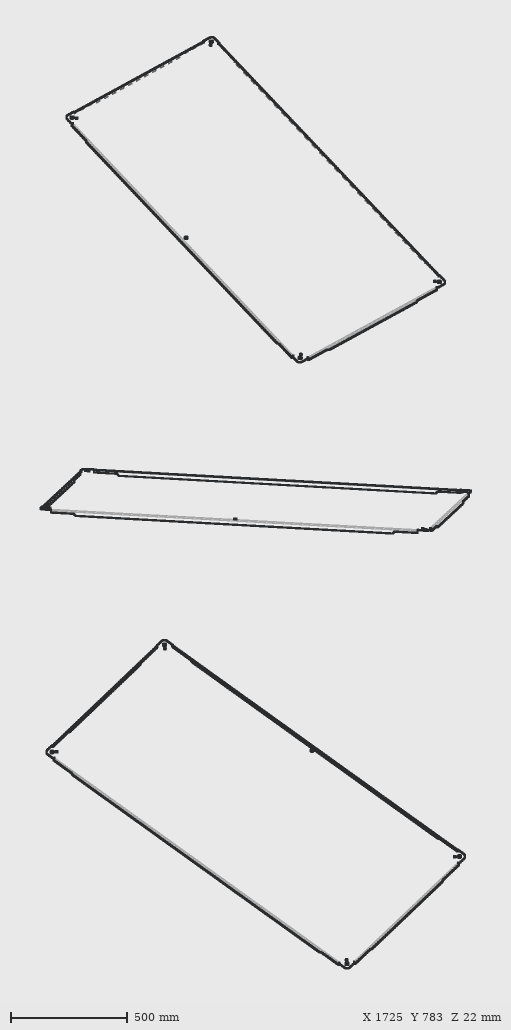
import cadquery as cq
import math

length = 1725.0
width = 783.0
depth = 22.0
thickness = 2.0
bend_radius = 6.0
corner_radius = 16.4

corner_relief = 50.0
shallow_depth = 14.0
deep_inset = 152.0
deep_chamfer = 9.0

corner_hole_diameter = 12.8
corner_hole_inset = 22.0
pilot_hole_diameter = 7.0
pilot_hole_inset = 36.0
middle_hole_diameter = 11.2
middle_hole_inset = 22.0


def make_plate():
    """Flat plate with its top face at Z = 0 and rounded corners."""
    return (
        cq.Workplane("XY")
        .rect(length, width)
        .extrude(-thickness)
        .edges("|Z")
        .fillet(corner_radius)
    )


def make_bend_gap(side_length, edge_distance):
    """Strip to remove from the -Y edge of the plate, where the bend takes its place."""
    return (
        cq.Workplane("XY")
        .center(0, bend_radius / 2 - edge_distance)
        .rect(side_length - 2 * corner_relief, bend_radius)
        .extrude(-thickness)
    )


def make_flange(side_length, edge_distance):
    """Bend and flange on the -Y edge, whose outer face lies edge_distance from the center."""
    inner_radius = bend_radius - thickness
    bend_y = bend_radius - edge_distance
    inner_face_y = thickness - edge_distance
    mid_bend_cos = math.cos(math.radians(45))

    def bend_middle(radius):
        return (bend_y - radius * mid_bend_cos, radius * mid_bend_cos - bend_radius)

    bent_sheet = (
        cq.Workplane("YZ")
        .moveTo(bend_y, 0)
        .threePointArc(bend_middle(bend_radius), (-edge_distance, -bend_radius))
        .lineTo(-edge_distance, -depth)
        .lineTo(inner_face_y, -depth)
        .lineTo(inner_face_y, -bend_radius)
        .threePointArc(bend_middle(inner_radius), (bend_y, -thickness))
        .close()
        .extrude(side_length / 2, both=True)
    )

    end_x = side_length / 2 - corner_relief
    step_x = side_length / 2 - deep_inset
    deep_x = step_x - deep_chamfer
    outline = (
        cq.Workplane("XZ")
        .polyline([
            (-end_x, 0),
            (-end_x, -shallow_depth),
            (-step_x, -shallow_depth),
            (-deep_x, -depth),
            (deep_x, -depth),
            (step_x, -shallow_depth),
            (end_x, -shallow_depth),
            (end_x, 0),
        ])
        .close()
        .extrude(edge_distance)
    )
    return bent_sheet.intersect(outline)


def turn_about_z(shape, angle):
    return shape.rotate((0, 0, 0), (0, 0, 1), angle)


def make_hole_cutter(points, diameter):
    """Round cutters through the plate at the given points."""
    return cq.Workplane("XY").pushPoints(points).circle(diameter / 2).extrude(-thickness)


def corner_points(inset):
    """Four points, each the same distance from both panel edges at its corner."""
    x = length / 2 - inset
    y = width / 2 - inset
    return [(x, y), (-x, y), (-x, -y), (x, -y)]


result = make_plate()
for side_length, edge_distance, first_angle in (
    (length, width / 2, 0),
    (width, length / 2, 90),
):
    bend_gap = make_bend_gap(side_length, edge_distance)
    flange = make_flange(side_length, edge_distance)
    for angle in (first_angle, first_angle + 180):
        result = result.cut(turn_about_z(bend_gap, angle))
        result = result.union(turn_about_z(flange, angle))

result = result.cut(make_hole_cutter(corner_points(corner_hole_inset), corner_hole_diameter))
result = result.cut(make_hole_cutter(corner_points(pilot_hole_inset), pilot_hole_diameter))
middle_point = (0, middle_hole_inset - width / 2)
result = result.cut(make_hole_cutter([middle_point], middle_hole_diameter))